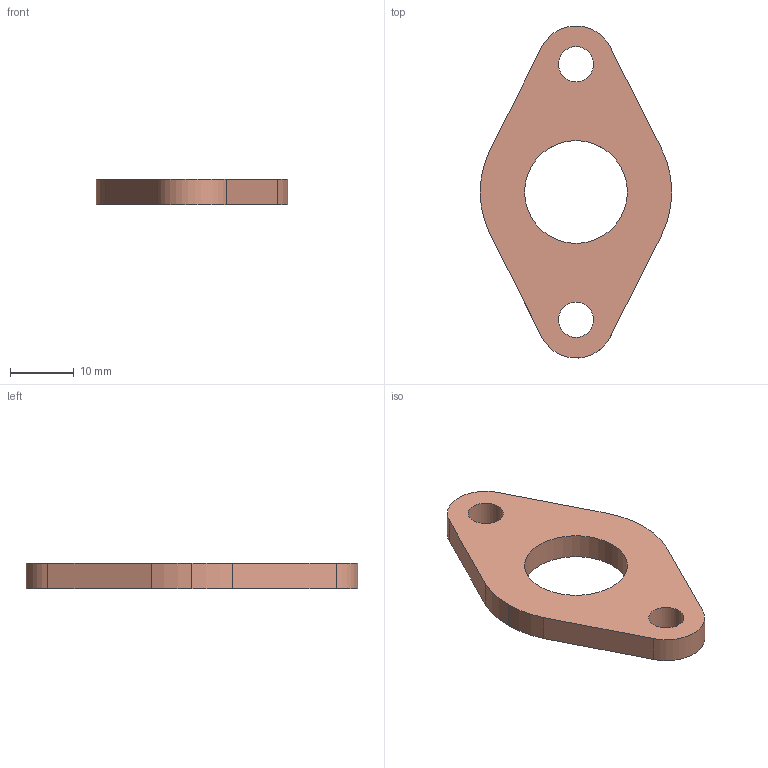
import cadquery as cq
import math

thickness = 4.0
hole_spacing = 40.0
hole_diameter = 5.5
bore_diameter = 16.1
end_radius = 6.0
waist_radius = 15.0

hole_offset = hole_spacing / 2
tip_y = hole_offset + end_radius

right_join_angle = math.asin((waist_radius - end_radius) / hole_offset)
left_join_angle = math.radians(25.2)


def arc_offset(radius, angle):
    """X and Y offsets from an arc's centre to its point at the given angle."""
    return radius * math.cos(angle), radius * math.sin(angle)


def flange_plate():
    """Diamond-shaped plate with rounded ends and waist; the -X waist is two arcs meeting at Y = 0."""
    right_end_x, right_end_rise = arc_offset(end_radius, right_join_angle)
    left_end_x, left_end_rise = arc_offset(end_radius, left_join_angle)
    right_waist_x, right_waist_y = arc_offset(waist_radius, right_join_angle)
    left_waist_x, left_waist_y = arc_offset(waist_radius, left_join_angle)
    left_mid_x, left_mid_y = arc_offset(waist_radius, left_join_angle / 2)
    right_end_y = hole_offset + right_end_rise
    left_end_y = hole_offset + left_end_rise
    return (
        cq.Workplane("XY")
        .moveTo(right_end_x, right_end_y)
        .threePointArc((0, tip_y), (-left_end_x, left_end_y))
        .lineTo(-left_waist_x, left_waist_y)
        .threePointArc((-left_mid_x, left_mid_y), (-waist_radius, 0))
        .threePointArc((-left_mid_x, -left_mid_y), (-left_waist_x, -left_waist_y))
        .lineTo(-left_end_x, -left_end_y)
        .threePointArc((0, -tip_y), (right_end_x, -right_end_y))
        .lineTo(right_waist_x, -right_waist_y)
        .threePointArc((waist_radius, 0), (right_waist_x, right_waist_y))
        .close()
        .extrude(thickness, clean=False)
    )


def through_holes():
    """Cutters for the central bore and the two mounting holes."""
    bore = cq.Workplane("XY").circle(bore_diameter / 2).extrude(thickness)
    mounting_holes = (
        cq.Workplane("XY")
        .pushPoints([(0, hole_offset), (0, -hole_offset)])
        .circle(hole_diameter / 2)
        .extrude(thickness)
    )
    return bore.union(mounting_holes)


result = flange_plate().cut(through_holes(), clean=False)